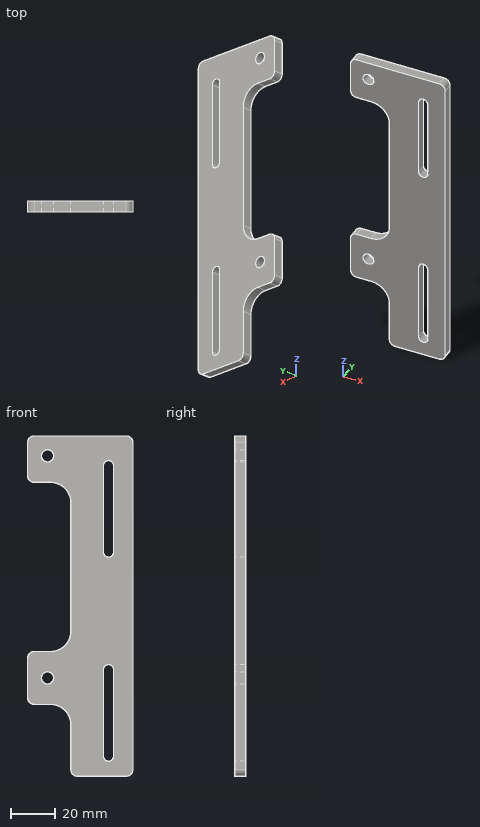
import cadquery as cq

width = 47.6
thickness = 5.0
height = 153.5

tab_reach = 19.5
upper_tab_height = 21.0
lower_tab_height = 24.0
outer_radius = 3.0
inner_radius = 9.0

hole_diameter = 5.4
hole_inset = 9.0
hole_spacing = 100.1

slot_width = 4.5
slot_length = 43.5
slot_x = 36.5
slot_top_inset = 11.2
slot_spacing = 92.0

upper_hole_z = height - hole_inset
lower_hole_z = upper_hole_z - hole_spacing
upper_tab_bottom = height - upper_tab_height
lower_tab_top = lower_hole_z + lower_tab_height / 2
lower_tab_bottom = lower_hole_z - lower_tab_height / 2
upper_slot_z = height - slot_top_inset - slot_length / 2


def box_between(x_min, x_max, z_min, z_max):
    """Block of full plate thickness spanning the given X and Z limits."""
    return cq.Workplane("XY").box(
        x_max - x_min, thickness, z_max - z_min, centered=False
    ).translate((x_min, 0, z_min))


def corners_at(body, points):
    """Select the through-thickness edges of the body at the given (x, z) points."""
    selector = None
    for x, z in points:
        point_selector = cq.selectors.NearestToPointSelector((x, thickness / 2, z))
        selector = point_selector if selector is None else selector + point_selector
    return body.edges("|Y").edges(selector)


def make_plate():
    """Main strip with both tabs and all of its corners rounded."""
    plate = box_between(tab_reach, width, 0, height)
    plate = plate.union(box_between(0, width, upper_tab_bottom, height))
    plate = plate.union(box_between(0, width, lower_tab_bottom, lower_tab_top))
    plate = plate.clean()

    tab_edges = (upper_tab_bottom, lower_tab_top, lower_tab_bottom)
    inner_corners = [(tab_reach, z) for z in tab_edges]
    outer_corners = [(0, z) for z in (height, *tab_edges)]
    outer_corners += [(width, height), (width, 0), (tab_reach, 0)]

    plate = corners_at(plate, inner_corners).fillet(inner_radius)
    return corners_at(plate, outer_corners).fillet(outer_radius)


def through_cutters(outline):
    """Extrude an XZ outline through the plate, starting at its -Y face."""
    return outline.extrude(-thickness)


holes = through_cutters(
    cq.Workplane("XZ")
    .pushPoints([(hole_inset, upper_hole_z), (hole_inset, lower_hole_z)])
    .circle(hole_diameter / 2)
)
slots = through_cutters(
    cq.Workplane("XZ")
    .pushPoints([(slot_x, upper_slot_z), (slot_x, upper_slot_z - slot_spacing)])
    .slot2D(slot_length, slot_width, angle=90)
)

result = make_plate().cut(holes).cut(slots)